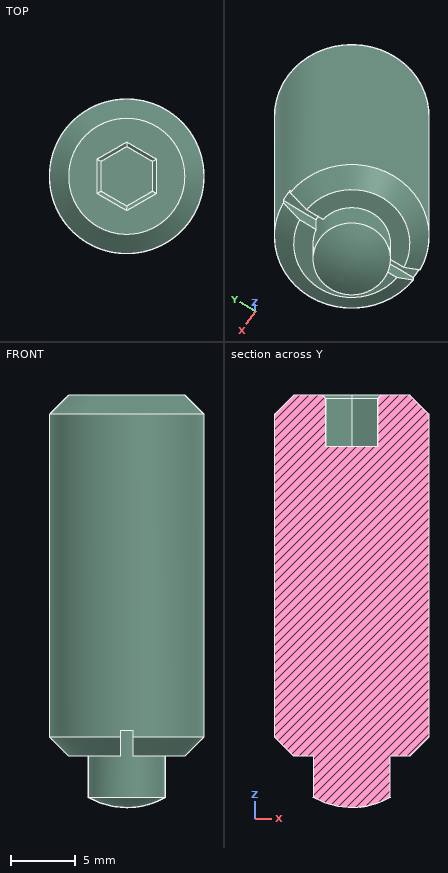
import cadquery as cq
import math

BODY_DIAMETER = 12.0
BODY_LENGTH = 28.0
BODY_CHAMFER = 1.5

PIN_DIAMETER = 6.0
PIN_PROJECTION = 4.0
TIP_RADIUS = PIN_DIAMETER

SOCKET_ACROSS_FLATS = 4.0
SOCKET_DEPTH = 4.0
MOUTH_CHAMFER = 0.3
MOUTH_ANGLE = 45.0

SLOT_WIDTH = 1.0
SLOT_DEPTH = 2.0

BODY_BOTTOM = PIN_PROJECTION
BODY_TOP = BODY_BOTTOM + BODY_LENGTH
SLOT_TOP = BODY_BOTTOM + SLOT_DEPTH


def make_body():
    body = cq.Workplane("XY", origin=(0, 0, BODY_BOTTOM)).circle(BODY_DIAMETER / 2).extrude(BODY_LENGTH)
    return body.faces("<Z or >Z").edges().chamfer(BODY_CHAMFER)


def make_slot():
    slot = cq.Workplane("XY", origin=(0, 0, BODY_BOTTOM))
    return slot.rect(SLOT_WIDTH, BODY_DIAMETER).extrude(SLOT_DEPTH)


def make_pin():
    """Pin with a spherical tip, reaching up to the top of the slot."""
    pin = cq.Workplane("XY").circle(PIN_DIAMETER / 2).extrude(SLOT_TOP)
    ball = cq.Workplane("XY", origin=(0, 0, TIP_RADIUS)).sphere(TIP_RADIUS)
    return pin.intersect(ball)


def hexagon(across_flats, z):
    """Hexagon outline at height z with two corners on the Y axis."""
    across_corners = across_flats / math.cos(math.pi / 6)
    return cq.Workplane("XY", origin=(0, 0, z)).transformed(rotate=(0, 0, 90)).polygon(6, across_corners)


def make_socket():
    """Hexagonal hole with a sloping flare at its mouth."""
    mouth_across_flats = SOCKET_ACROSS_FLATS + 2 * MOUTH_CHAMFER
    hole = hexagon(SOCKET_ACROSS_FLATS, BODY_TOP).extrude(-SOCKET_DEPTH)
    mouth = hexagon(mouth_across_flats, BODY_TOP).extrude(-MOUTH_CHAMFER, taper=MOUTH_ANGLE)
    return hole.union(mouth)


result = make_body().cut(make_slot()).union(make_pin()).cut(make_socket())